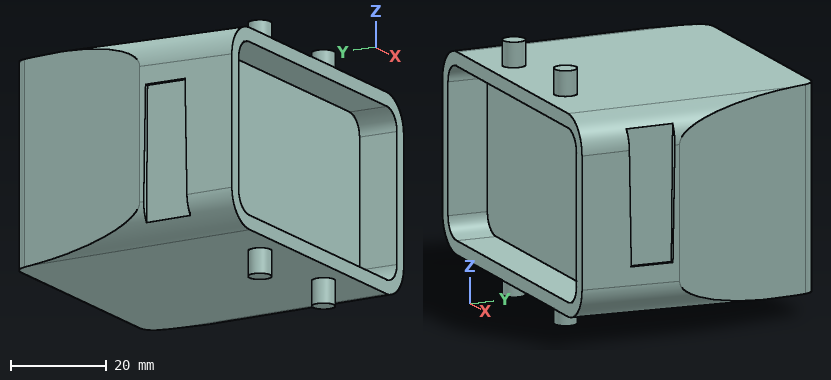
import cadquery as cq
import math

WIDTH = 73.0
DEPTH = 57.0
RIM_HEIGHT = 43.8
BACK_HEIGHT = 45.2
EDGE_RADIUS = 7.45

SHOULDER_Y = 22.2
FLANK_ANGLE = 14.0
BACK_CORNER_RADIUS = 3.5

CAVITY_WIDTH = 67.15
CAVITY_HEIGHT = 37.6
CAVITY_RADIUS = 4.4
CAVITY_DEPTH = 9.0

PIN_DIAMETER = 5.0
PIN_SPACING = 27.0
PIN_Y = 6.3
PIN_SPAN = 55.0

RECESS_Y = 16.0
RECESS_CLOSED_Z = 10.6
RECESS_CLOSED_WIDTH = 9.5
RECESS_CLOSED_DEPTH = 0.84
RECESS_DRAFT = 1.0


def make_body():
    """Side profile with rounded long edges, trimmed to the tapered plan outline."""
    block = (
        cq.Workplane("YZ")
        .polyline([
            (0, -RIM_HEIGHT / 2),
            (DEPTH, -BACK_HEIGHT / 2),
            (DEPTH, BACK_HEIGHT / 2),
            (0, RIM_HEIGHT / 2),
        ])
        .close()
        .extrude(WIDTH / 2, both=True)
        .faces("<X or >X")
        .edges("not |Z")
        .fillet(EDGE_RADIUS)
    )
    back_half_width = WIDTH / 2 - (DEPTH - SHOULDER_Y) * math.tan(math.radians(FLANK_ANGLE))
    plan = (
        cq.Workplane("XY")
        .polyline([
            (-WIDTH / 2, 0),
            (WIDTH / 2, 0),
            (WIDTH / 2, SHOULDER_Y),
            (back_half_width, DEPTH),
            (-back_half_width, DEPTH),
            (-WIDTH / 2, SHOULDER_Y),
        ])
        .close()
        .extrude(BACK_HEIGHT / 2, both=True)
        .edges("|Z and >Y")
        .fillet(BACK_CORNER_RADIUS)
    )
    return block.intersect(plan)


def make_cavity():
    return (
        cq.Workplane("XY")
        .box(CAVITY_WIDTH, CAVITY_DEPTH, CAVITY_HEIGHT)
        .edges("|Y")
        .fillet(CAVITY_RADIUS)
        .translate((0, CAVITY_DEPTH / 2, 0))
    )


def make_pin(x, direction):
    """Pin rooted in the solid wall between the cavity and the outside."""
    root_z = CAVITY_HEIGHT / 2
    length = PIN_SPAN / 2 - root_z
    return (
        cq.Workplane("XY", origin=(x, PIN_Y, direction * root_z))
        .circle(PIN_DIAMETER / 2)
        .extrude(direction * length)
    )


def make_recess():
    """Recess cutter for the -X side, running out through the lower rounded edge."""
    open_z = -BACK_HEIGHT / 2
    growth = (RECESS_CLOSED_Z - open_z) * math.tan(math.radians(RECESS_DRAFT))
    closed_half = RECESS_CLOSED_WIDTH / 2
    open_half = closed_half + growth
    open_depth = RECESS_CLOSED_DEPTH + growth
    outline = (
        cq.Workplane("YZ", origin=(-WIDTH / 2, 0, 0))
        .polyline([
            (RECESS_Y - closed_half, RECESS_CLOSED_Z),
            (RECESS_Y + closed_half, RECESS_CLOSED_Z),
            (RECESS_Y + open_half, open_z),
            (RECESS_Y - open_half, open_z),
        ])
        .close()
        .extrude(open_depth)
    )
    wedge = (
        cq.Workplane("XZ")
        .polyline([
            (-WIDTH / 2, RECESS_CLOSED_Z),
            (-WIDTH / 2 + RECESS_CLOSED_DEPTH, RECESS_CLOSED_Z),
            (-WIDTH / 2 + open_depth, open_z),
            (-WIDTH / 2, open_z),
        ])
        .close()
        .extrude(-DEPTH)
    )
    return outline.intersect(wedge)


result = make_body().cut(make_cavity())

for pin_x in (-PIN_SPACING / 2, PIN_SPACING / 2):
    for pin_direction in (-1, 1):
        result = result.union(make_pin(pin_x, pin_direction))

recess = make_recess()
result = result.cut(recess)
result = result.cut(recess.rotate((0, 0, 0), (0, 1, 0), 180))